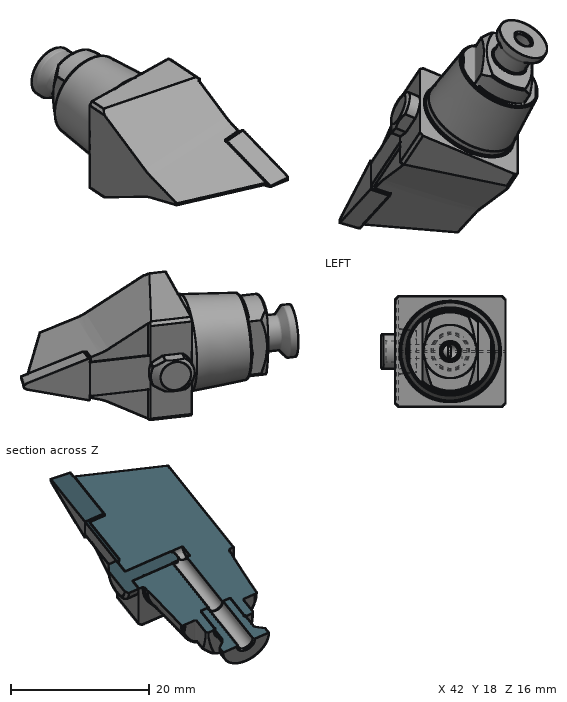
import cadquery as cq
import math


total_length = 42.0
shank_rear_x = 4.45
taper_rear_x = 7.5
taper_front_x = 15.95
block_rear_x = 16.95

rear_collar_radius = 5.88
collar_fillet_radius = 0.2
taper_rear_radius = 6.4
taper_front_radius = 7.1
seat_radius = 7.15
edge_chamfer = 0.2
stud_mouth_chamfer = 0.38
holder_bore_radius = 1.15
flat_half_width = 4.0
flat_corner_radius = 0.2
flat_end_radius = 11.38
flat_end_setback = 0.3

block_side = 16.0
half_block = block_side / 2
block_corner_chamfer = 0.5
wedge_tip_half_height = 0.15
wedge_bend_radius = 6.7
near_slope_x, near_bend_x, near_bend_z, near_tip_x = 19.25, 29.4, 2.15, 35.6
far_slope_x, far_bend_x, far_bend_z, far_tip_x = 23.0, 29.95, 4.0, total_length

insert_rear_x = 32.15
insert_thickness = 3.15
insert_slope = 0.313
insert_nose_x = 41.55
insert_top_nose_half_height = 0.5
insert_bottom_nose_half_height = 0.13
insert_top_tip_half_height = 0.2
insert_bottom_tip_half_height = 0.1
insert_front_relief = 0.35
insert_rear_chamfer = 0.15

plate_rear_x = 23.1
plate_thickness = 0.5
plate_corner_chamfer = 0.25
plate_outer_half_height = 2.73
plate_side_angle = 17.0
tongue_width = 0.25

stud_head_radius = 3.85
stud_head_thickness = 1.1
stud_neck_radius = 2.65
stud_neck_start_x = 2.2
stud_neck_end_x = 4.35
stud_step = 0.2
stud_depth_in_shank = 4.2
stud_blend_radius = 0.2
stud_bore_radius = 1.25
stud_bore_chamfer = 0.25
stud_shaft_radius = stud_neck_radius - stud_step
stud_end_x = shank_rear_x + stud_depth_in_shank

key_x = 19.85
key_height = 2.0
key_back_radius = 2.9
key_front_radius = 3.53
key_side_angle = 30.0
key_half_width = key_back_radius * math.cos(math.radians(key_side_angle))
key_corner_offset = key_back_radius * math.sin(math.radians(key_side_angle))
key_bevel_angle = 30.0
key_bevel_start_radius = 2.25
key_stem_radius = 1.0
key_stem_chamfer = 0.4
key_stem_end_y = -0.13
key_hole_end_y = -1.7


selection_margin = 0.1


def edges_near_x(start_x, end_x):
    """Selector for edges centred between two stations along the axis."""
    return cq.selectors.BoxSelector(
        (start_x - selection_margin, -half_block, -half_block),
        (end_x + selection_margin, half_block, half_block),
    )


def turned(profile):
    """Solid of revolution about the X axis from (x, radius) points."""
    return cq.Workplane("XZ").polyline(profile).close().revolve(360, (0, 0, 0), (1, 0, 0))


def x_cylinder(radius, start_x, end_x):
    return cq.Workplane("YZ").workplane(offset=start_x).circle(radius).extrude(end_x - start_x)


def prism_between(near_points, near_y, far_points, far_y):
    """Straight-sided solid between two (x, z) outlines that lie at two Y positions."""
    return (
        cq.Workplane("XZ", origin=(0, near_y, 0)).polyline(near_points).close()
        .workplane(offset=near_y - far_y).polyline(far_points).close()
        .loft(ruled=True, combine=True)
    )


def mirrored_outline(upper_points):
    """Closed (x, z) outline, symmetric about Z = 0, from its upper half."""
    return upper_points + [(x, -z) for x, z in reversed(upper_points)]


def make_shank():
    shank = turned([
        (shank_rear_x, 0),
        (shank_rear_x, rear_collar_radius - edge_chamfer),
        (shank_rear_x + edge_chamfer, rear_collar_radius),
        (taper_rear_x, rear_collar_radius),
        (taper_rear_x, taper_rear_radius - edge_chamfer),
        (taper_rear_x + edge_chamfer, taper_rear_radius),
        (taper_front_x, taper_front_radius),
        (taper_front_x, seat_radius),
        (block_rear_x - edge_chamfer, seat_radius),
        (block_rear_x, seat_radius + edge_chamfer),
        (block_rear_x, 0),
    ])
    shank = (
        shank.edges(edges_near_x(taper_rear_x, taper_rear_x))
        .edges(cq.selectors.RadiusNthSelector(0)).fillet(collar_fillet_radius)
    )
    for side in (1, -1):
        shank = shank.cut(flat_cutter(side)).cut(flat_end_cutter(side))
    return shank


def flat_cutter(side):
    """Slab that mills one flat on the rear collar, with a rounded inner corner."""
    length = taper_rear_x - shank_rear_x
    depth = rear_collar_radius - flat_half_width
    inner_side = "<Y" if side > 0 else ">Y"
    return (
        cq.Workplane("XY")
        .box(length, depth, 2 * rear_collar_radius, centered=(False, True, True))
        .translate((shank_rear_x, side * (flat_half_width + depth / 2), 0))
        .edges(">X and " + inner_side).fillet(flat_corner_radius)
    )


def flat_end_cutter(side):
    """Material outside a 45 degree cone about Y, which bevels the rear end of a flat."""
    length = taper_rear_x - shank_rear_x
    cone_x = shank_rear_x + flat_end_setback + flat_end_radius
    base_radius = flat_end_radius + flat_half_width
    slab = (
        cq.Workplane("XY")
        .box(length, flat_half_width, 2 * rear_collar_radius, centered=(False, False, True))
        .translate((shank_rear_x, 0, 0))
    )
    cone = cq.Workplane(cq.Solid.makeCone(
        base_radius, flat_end_radius, flat_half_width, cq.Vector(cone_x, 0, 0), cq.Vector(0, 1, 0)
    ))
    cutter = slab.cut(cone)
    return cutter if side > 0 else cutter.mirror("XZ")


def wedge_outline(slope_x, bend_x, bend_z, tip_x):
    return mirrored_outline([
        (block_rear_x, half_block),
        (slope_x, half_block),
        (bend_x, bend_z),
        (tip_x, wedge_tip_half_height),
    ])


def round_bends(wedge):
    """Blend the upper and lower concave bends where the two slopes of the wedge meet."""
    return wedge.edges(edges_near_x(near_bend_x, far_bend_x)).edges("not(#Y)").fillet(wedge_bend_radius)


def make_wedge_block():
    wedge = round_bends(prism_between(
        wedge_outline(near_slope_x, near_bend_x, near_bend_z, near_tip_x), -half_block,
        wedge_outline(far_slope_x, far_bend_x, far_bend_z, far_tip_x), half_block,
    ))
    envelope = (
        cq.Workplane("YZ").workplane(offset=block_rear_x)
        .rect(block_side, block_side).extrude(total_length - block_rear_x)
        .edges("|X").chamfer(block_corner_chamfer)
    )
    return wedge.intersect(envelope)


def make_holder():
    holder = make_shank().union(make_wedge_block())
    holder = holder.cut(x_cylinder(stud_shaft_radius, shank_rear_x, stud_end_x))
    mouth = turned([
        (shank_rear_x, 0),
        (shank_rear_x, stud_shaft_radius + stud_mouth_chamfer),
        (shank_rear_x + stud_mouth_chamfer, stud_shaft_radius),
        (shank_rear_x + stud_mouth_chamfer, 0),
    ])
    holder = holder.cut(mouth)
    holder = holder.cut(x_cylinder(holder_bore_radius, stud_end_x, key_x))
    holder = holder.cut(key_hole()).cut(insert_pocket())
    return holder.cut(plate_footprint(block_side))


def key_hole():
    return (
        cq.Workplane("XZ", origin=(key_x, half_block, 0))
        .circle(key_stem_radius).extrude(half_block - key_hole_end_y)
    )


def insert_outline(nose_half_height, tip_x, tip_half_height):
    rear_half_height = nose_half_height + insert_slope * (insert_nose_x - insert_rear_x)
    return mirrored_outline([
        (insert_rear_x, rear_half_height),
        (insert_nose_x, nose_half_height),
        (tip_x, tip_half_height),
    ])


def make_insert():
    bottom = insert_outline(
        insert_bottom_nose_half_height, total_length - insert_front_relief, insert_bottom_tip_half_height
    )
    top = insert_outline(insert_top_nose_half_height, total_length, insert_top_tip_half_height)
    insert = prism_between(bottom, half_block - insert_thickness, top, half_block)
    return insert.faces("<X").edges(">Z or <Z").chamfer(insert_rear_chamfer)


def insert_pocket():
    """Space for the insert, open to the front, to +Y and through the wedge along Z."""
    return (
        cq.Workplane("XY")
        .box(total_length - insert_rear_x, insert_thickness, block_side, centered=(False, False, True))
        .translate((insert_rear_x, half_block - insert_thickness, 0))
    )


def plate_footprint(height):
    """Plate against the +Y side with a tongue behind the insert, as a prism centred on Z = 0."""
    plate_y = half_block - plate_thickness
    tongue_x = insert_rear_x - tongue_width
    return (
        cq.Workplane("XY").workplane(offset=-height / 2)
        .moveTo(plate_rear_x, half_block)
        .lineTo(plate_rear_x, plate_y + plate_corner_chamfer)
        .lineTo(plate_rear_x + plate_corner_chamfer, plate_y)
        .lineTo(tongue_x, plate_y)
        .lineTo(tongue_x, half_block - insert_thickness)
        .lineTo(insert_rear_x, half_block - insert_thickness)
        .lineTo(insert_rear_x, half_block)
        .close().extrude(height)
    )


def make_plate():
    inner_y = half_block - insert_thickness
    inner_half_height = (
        plate_outer_half_height - insert_thickness * math.tan(math.radians(plate_side_angle))
    )
    section = mirrored_outline([(inner_y, inner_half_height), (half_block, plate_outer_half_height)])
    bar = (
        cq.Workplane("YZ").workplane(offset=plate_rear_x)
        .polyline(section).close().extrude(insert_rear_x - plate_rear_x)
    )
    return plate_footprint(block_side).intersect(bar)


def make_stud():
    stud = turned([
        (0, 0),
        (0, stud_head_radius),
        (stud_head_thickness, stud_head_radius),
        (stud_neck_start_x, stud_neck_radius),
        (stud_neck_end_x, stud_neck_radius),
        (stud_neck_end_x + stud_step, stud_shaft_radius),
        (stud_end_x, stud_shaft_radius),
        (stud_end_x, 0),
    ])
    stud = (
        stud.edges(edges_near_x(stud_head_thickness, stud_neck_start_x))
        .edges("%CIRCLE").fillet(stud_blend_radius)
    )
    stud = stud.cut(x_cylinder(stud_bore_radius, 0, stud_end_x))
    mouth = turned([
        (0, 0),
        (0, stud_bore_radius + stud_bore_chamfer),
        (stud_bore_chamfer, stud_bore_radius),
        (stud_bore_chamfer, 0),
    ])
    return stud.cut(mouth)


def make_key():
    slope = math.tan(math.radians(key_side_angle))
    line_height = key_half_width + slope * key_corner_offset
    front_x = (
        slope * line_height
        + math.sqrt(key_front_radius**2 * (1 + slope**2) - line_height**2)
    ) / (1 + slope**2)
    front_z = line_height - slope * front_x
    head = (
        cq.Workplane("XZ", origin=(key_x, half_block, 0))
        .moveTo(-key_corner_offset, key_half_width)
        .lineTo(key_corner_offset, key_half_width)
        .lineTo(front_x, front_z)
        .threePointArc((key_front_radius, 0), (front_x, -front_z))
        .lineTo(key_corner_offset, -key_half_width)
        .lineTo(-key_corner_offset, -key_half_width)
        .threePointArc((-key_back_radius, 0), (-key_corner_offset, key_half_width))
        .close().extrude(-key_height)
    )
    bevel_run = key_height / math.tan(math.radians(key_bevel_angle))
    bevel = cq.Workplane(cq.Solid.makeCone(
        key_bevel_start_radius + bevel_run, key_bevel_start_radius, key_height,
        cq.Vector(key_x, half_block, 0), cq.Vector(0, 1, 0),
    ))
    stem = (
        cq.Workplane("XZ", origin=(key_x, half_block, 0))
        .circle(key_stem_radius).extrude(half_block - key_stem_end_y)
        .faces("<Y").chamfer(key_stem_chamfer)
    )
    return head.intersect(bevel).union(stem)


holder = make_holder()
insert = make_insert()
plate = make_plate()
stud = make_stud()
key = make_key()

result = cq.Compound.makeCompound([holder.val(), insert.val(), plate.val(), stud.val(), key.val()])